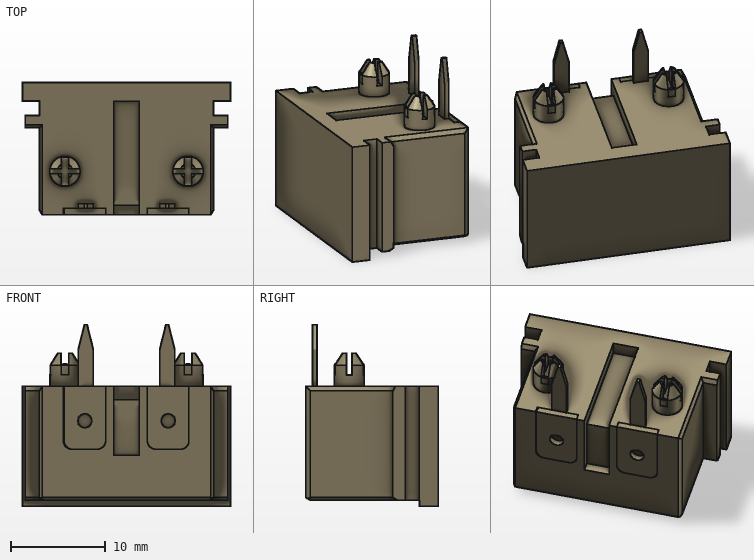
import cadquery as cq

SIDES = (-1, 1)

PLATE_WIDTH = 22.0
PLATE_HEIGHT = 12.7
PLATE_THICKNESS = 2.0
HOUSING_DEPTH = 14.0
PLATE_FRONT_Y = HOUSING_DEPTH - PLATE_THICKNESS
PLATE_DROP = 0.65
BLOCK_HEIGHT = PLATE_HEIGHT - PLATE_DROP
BLOCK_WIDTH = 18.4
FLANGE_WIDTH = 21.4
FLANGE_THICKNESS = 1.3
FLANGE_GAP = 1.5
FLANGE_REAR_Y = PLATE_FRONT_Y - FLANGE_GAP
FLANGE_FRONT_Y = FLANGE_REAR_Y - FLANGE_THICKNESS
CHAMFER_LONG = 0.5
CHAMFER_SHORT = 0.3

GROOVE_WIDTH = 2.7
GROOVE_TOP_DEPTH = 1.45
GROOVE_FRONT_DEPTH = 1.0
GROOVE_FRONT_LENGTH = 7.3

PEG_X = 6.5
PEG_Y = 4.6
PEG_RADIUS = 1.6
PEG_TIP_RADIUS = 0.8
PEG_SHOULDER_Z = 2.2
PEG_TOP_Z = 3.5
PEG_SLOT_FLOOR_Z = 1.2
WIDE_SLOT_WIDTH = 0.8
WIDE_SLOT_LENGTH = 3.0
NARROW_SLOT_WIDTH = 0.55

TAB_X = 4.4
TAB_WIDTH = 4.4
TAB_HEIGHT = 6.65
TAB_THICKNESS = 0.7
TAB_CORNER_RADIUS = 0.9
TAB_HOLE_DIAMETER = 1.46
TAB_HOLE_DEPTH_BELOW_TOP = 3.65
LEFT_RECESS_GAP = 0.07

PIN_X = 4.3
PIN_WIDTH = 1.6
PIN_THICKNESS = 0.5
PIN_TOP_Z = 6.5
PIN_TAPER_Z = 3.9
PIN_TIP_WIDTH = 0.3
PIN_BOTTOM_Z = -TAB_HEIGHT


def span_box(width, y_range, z_range):
    """Box centred on X between the given Y and Z limits."""
    y_front, y_rear = y_range
    z_low, z_high = z_range
    return (
        cq.Workplane("XY")
        .box(width, y_rear - y_front, z_high - z_low, centered=(True, False, False))
        .translate((0, y_front, z_low))
    )


def extrude_along_y(sketch_points, depth):
    """Closed XZ outline extruded from Y = 0 toward +Y."""
    return cq.Workplane("XZ").polyline(sketch_points).close().extrude(-depth)


def extrude_across_x(sketch_points, width):
    """Closed YZ outline extruded symmetrically about X = 0."""
    return cq.Workplane("YZ").polyline(sketch_points).close().extrude(width / 2, both=True)


def make_main_block():
    """Block whose side, bottom and front edges are chamfered, as the overlap of three prisms."""
    half = BLOCK_WIDTH / 2
    depth = FLANGE_REAR_Y
    across = extrude_along_y(
        [
            (half - CHAMFER_SHORT, 0),
            (half, -CHAMFER_LONG),
            (half, -BLOCK_HEIGHT + CHAMFER_SHORT),
            (half - CHAMFER_LONG, -BLOCK_HEIGHT),
            (-half + CHAMFER_LONG, -BLOCK_HEIGHT),
            (-half, -BLOCK_HEIGHT + CHAMFER_SHORT),
            (-half, -CHAMFER_LONG),
            (-half + CHAMFER_SHORT, 0),
        ],
        depth,
    )
    plan = (
        cq.Workplane("XY")
        .polyline(
            [
                (half - CHAMFER_SHORT, 0),
                (half, CHAMFER_LONG),
                (half, depth),
                (-half, depth),
                (-half, CHAMFER_LONG),
                (-half + CHAMFER_SHORT, 0),
            ]
        )
        .close()
        .extrude(-BLOCK_HEIGHT)
    )
    profile = extrude_across_x(
        [
            (0, 0),
            (depth, 0),
            (depth, -BLOCK_HEIGHT),
            (CHAMFER_LONG, -BLOCK_HEIGHT),
            (0, -BLOCK_HEIGHT + CHAMFER_SHORT),
        ],
        BLOCK_WIDTH,
    )
    return across.intersect(plan).intersect(profile)


def make_flange():
    """Side flange with its upper and lower front edges chamfered."""
    return extrude_across_x(
        [
            (FLANGE_REAR_Y, 0),
            (FLANGE_FRONT_Y + CHAMFER_SHORT, 0),
            (FLANGE_FRONT_Y, -CHAMFER_LONG),
            (FLANGE_FRONT_Y, -BLOCK_HEIGHT + CHAMFER_SHORT),
            (FLANGE_FRONT_Y + CHAMFER_LONG, -BLOCK_HEIGHT),
            (FLANGE_REAR_Y, -BLOCK_HEIGHT),
        ],
        FLANGE_WIDTH,
    )


def make_groove_cutter():
    """L-shaped groove running from the plate over the top edge and down the front."""
    return extrude_across_x(
        [
            (0, 0),
            (PLATE_FRONT_Y, 0),
            (PLATE_FRONT_Y, -GROOVE_TOP_DEPTH),
            (GROOVE_FRONT_DEPTH, -GROOVE_TOP_DEPTH),
            (GROOVE_FRONT_DEPTH, -GROOVE_FRONT_LENGTH),
            (0, -GROOVE_FRONT_LENGTH),
        ],
        GROOVE_WIDTH,
    )


def make_peg(side):
    """Round peg with a conical tip, crossed by two slots; the wide one stops inside the wall."""
    slot_height = PEG_TOP_Z - PEG_SLOT_FLOOR_Z
    peg = (
        cq.Workplane("XZ")
        .polyline(
            [
                (0, 0),
                (-PEG_RADIUS, 0),
                (-PEG_RADIUS, PEG_SHOULDER_Z),
                (-PEG_TIP_RADIUS, PEG_TOP_Z),
                (0, PEG_TOP_Z),
            ]
        )
        .close()
        .revolve(360, (0, 0), (0, 1))
    )
    slots = (
        cq.Workplane("XY", origin=(0, 0, PEG_SLOT_FLOOR_Z))
        .rect(WIDE_SLOT_WIDTH, WIDE_SLOT_LENGTH)
        .extrude(slot_height)
        .union(
            cq.Workplane("XY", origin=(0, 0, PEG_SLOT_FLOOR_Z))
            .rect(2 * PEG_RADIUS, NARROW_SLOT_WIDTH)
            .extrude(slot_height)
        )
    )
    return peg.cut(slots).translate((side * PEG_X, PEG_Y, 0))


def make_tab_blank(side):
    """Tab plate without its hole: square at the top, rounded at the lower corners."""
    return (
        cq.Workplane("XY")
        .box(TAB_WIDTH, TAB_THICKNESS, TAB_HEIGHT, centered=(True, False, False))
        .edges("|Y and <Z")
        .fillet(TAB_CORNER_RADIUS)
        .translate((side * TAB_X, 0, -TAB_HEIGHT))
    )


def make_tab(side):
    hole = (
        cq.Workplane("XZ")
        .center(side * TAB_X, -TAB_HOLE_DEPTH_BELOW_TOP)
        .circle(TAB_HOLE_DIAMETER / 2)
        .extrude(-TAB_THICKNESS)
    )
    return make_tab_blank(side).cut(hole)


def make_pin(side):
    """Flat pin with a tapered tip, standing against the rear face of its tab."""
    return (
        cq.Workplane("XZ", origin=(side * PIN_X, TAB_THICKNESS, 0))
        .polyline(
            [
                (-PIN_WIDTH / 2, PIN_BOTTOM_Z),
                (PIN_WIDTH / 2, PIN_BOTTOM_Z),
                (PIN_WIDTH / 2, PIN_TAPER_Z),
                (PIN_TIP_WIDTH / 2, PIN_TOP_Z),
                (-PIN_TIP_WIDTH / 2, PIN_TOP_Z),
                (-PIN_WIDTH / 2, PIN_TAPER_Z),
            ]
        )
        .close()
        .extrude(-PIN_THICKNESS)
    )


def make_housing():
    plate = span_box(PLATE_WIDTH, (PLATE_FRONT_Y, HOUSING_DEPTH), (-PLATE_HEIGHT, 0))
    neck = span_box(BLOCK_WIDTH, (FLANGE_REAR_Y, PLATE_FRONT_Y), (-BLOCK_HEIGHT, 0))
    housing = plate.union(neck).union(make_flange()).union(make_main_block())
    housing = housing.cut(make_groove_cutter())
    for side in SIDES:
        housing = housing.union(make_peg(side))
        housing = housing.cut(make_tab_blank(side)).cut(make_pin(side))
    return housing.cut(make_tab_blank(-1).translate((-LEFT_RECESS_GAP, 0, 0)))


housing = make_housing()
tabs = [make_tab(side) for side in SIDES]
pins = [make_pin(side) for side in SIDES]

result = cq.Compound.makeCompound(
    [housing.val()] + [tab.val() for tab in tabs] + [pin.val() for pin in pins]
)